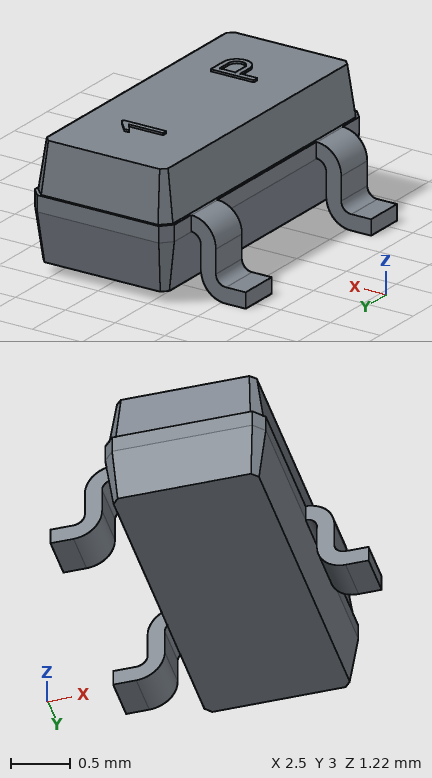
import cadquery as cq
import math

case_width = 1.4
case_length = 3.0
corner_cut_x = 0.09
corner_cut_y = 0.1
upper_corner_cut = 0.09
case_bottom = 0.1
case_top = 1.2
draft_angle = 8.0
ledge = 0.025

lead_thickness = 0.15
lead_width = 0.395
lead_span = 2.5
foot_length = 0.2
bend_inner_radius = 0.1
left_lead_pitch = 1.9

band_middle = (case_bottom + case_top) / 2
band_bottom = band_middle - lead_thickness / 2
band_top = band_middle + lead_thickness / 2

character_height = 0.02
character_foot_x = -0.177
character_top_x = 0.255

one_right_y = 0.732
one_stem = 0.05
one_flag_tip_y = 0.888
one_flag_tip_x = 0.09
one_flag_tip_width = 0.05
one_flag_top_drop = 0.027
one_flag_root_drop = 0.09

p_left_y = -0.59
p_stem = 0.057
p_bowl_height = 0.26
p_bowl_depth = 0.327
p_stroke_x = 0.05


def case_outline(z, inset, cut_x, cut_y):
    """Case rectangle at height z, moved in by inset, with its four corners cut off."""
    half_x = case_width / 2 - inset
    half_y = case_length / 2 - inset
    return cq.Workplane("XY").workplane(offset=z).polyline([
        (half_x, half_y - cut_y),
        (half_x - cut_x, half_y),
        (cut_x - half_x, half_y),
        (-half_x, half_y - cut_y),
        (-half_x, cut_y - half_y),
        (cut_x - half_x, -half_y),
        (half_x - cut_x, -half_y),
        (half_x, cut_y - half_y),
    ]).close()


def make_case():
    """Straight band with a drafted half above and below it."""
    band_outline = case_outline(band_bottom, 0, corner_cut_x, corner_cut_y)
    upper_outline = case_outline(band_top, ledge, upper_corner_cut, upper_corner_cut)
    lower_outline = case_outline(band_bottom, 0, corner_cut_x, corner_cut_y)
    band = band_outline.extrude(band_top - band_bottom)
    upper = upper_outline.extrude(case_top - band_top, taper=draft_angle)
    lower = lower_outline.extrude(case_bottom - band_bottom, taper=draft_angle)
    return band.union(upper).union(lower)


def make_lead(side, y):
    """S-bent lead leaving the band at y; side is +1 for +X, -1 for -X."""
    inner = bend_inner_radius
    outer = inner + lead_thickness
    diagonal = math.sqrt(0.5)
    root_x = case_width / 2
    tip_x = lead_span / 2
    foot_x = tip_x - foot_length
    inner_wall_x = root_x + inner
    outer_wall_x = root_x + outer
    upper_centre_z = band_top - outer
    lower_centre_z = outer

    profile = (
        cq.Workplane("XZ", origin=(0, y, 0))
        .moveTo(side * root_x, band_bottom)
        .threePointArc(
            (side * (root_x + inner * diagonal), upper_centre_z + inner * diagonal),
            (side * inner_wall_x, upper_centre_z),
        )
        .lineTo(side * inner_wall_x, lower_centre_z)
        .threePointArc(
            (side * (foot_x - outer * diagonal), lower_centre_z - outer * diagonal),
            (side * foot_x, 0),
        )
        .lineTo(side * tip_x, 0)
        .lineTo(side * tip_x, lead_thickness)
        .lineTo(side * foot_x, lead_thickness)
        .threePointArc(
            (side * (foot_x - inner * diagonal), lower_centre_z - inner * diagonal),
            (side * outer_wall_x, lower_centre_z),
        )
        .lineTo(side * outer_wall_x, upper_centre_z)
        .threePointArc(
            (side * (root_x + outer * diagonal), upper_centre_z + outer * diagonal),
            (side * root_x, band_top),
        )
        .close()
    )
    return profile.extrude(lead_width / 2, both=True)


def make_package():
    """Case and its three leads as one solid."""
    package = make_case()
    lead_places = [(-1, -left_lead_pitch / 2), (-1, left_lead_pitch / 2), (1, 0)]
    for side, y in lead_places:
        package = package.union(make_lead(side, y))
    return package


def make_character_one():
    """Raised "1": a stem with a slanted flag towards +Y."""
    stem_left_y = one_right_y + one_stem
    return (
        cq.Workplane("XY").workplane(offset=case_top)
        .moveTo(character_foot_x, one_right_y)
        .lineTo(character_top_x, one_right_y)
        .lineTo(character_top_x, one_right_y + one_flag_top_drop)
        .lineTo(one_flag_tip_x + one_flag_tip_width, one_flag_tip_y)
        .lineTo(one_flag_tip_x, one_flag_tip_y)
        .lineTo(character_top_x - one_flag_root_drop, stem_left_y)
        .lineTo(character_foot_x, stem_left_y)
        .close()
        .extrude(character_height)
    )


def make_character_p():
    """Raised "P": a stem and a round bowl towards -Y."""
    plane = cq.Workplane("XY").workplane(offset=case_top)
    stem_right_y = p_left_y - p_stem
    outer_radius = p_bowl_height / 2
    inner_radius = outer_radius - p_stroke_x
    bowl_low_x = character_top_x - p_bowl_height
    bowl_centre_x = character_top_x - outer_radius
    bowl_centre_y = p_left_y - p_bowl_depth + outer_radius

    outside = (
        plane
        .moveTo(character_foot_x, p_left_y)
        .lineTo(character_top_x, p_left_y)
        .lineTo(character_top_x, bowl_centre_y)
        .threePointArc((bowl_centre_x, bowl_centre_y - outer_radius), (bowl_low_x, bowl_centre_y))
        .lineTo(bowl_low_x, stem_right_y)
        .lineTo(character_foot_x, stem_right_y)
        .close()
        .extrude(character_height)
    )
    counter = (
        plane
        .moveTo(bowl_centre_x - inner_radius, stem_right_y)
        .lineTo(bowl_centre_x + inner_radius, stem_right_y)
        .lineTo(bowl_centre_x + inner_radius, bowl_centre_y)
        .threePointArc(
            (bowl_centre_x, bowl_centre_y - inner_radius),
            (bowl_centre_x - inner_radius, bowl_centre_y),
        )
        .close()
        .extrude(character_height)
    )
    return outside.cut(counter)


package = make_package()
character_one = make_character_one()
character_p = make_character_p()

result = cq.Compound.makeCompound([
    package.solids().val(),
    character_one.solids().val(),
    character_p.solids().val(),
])